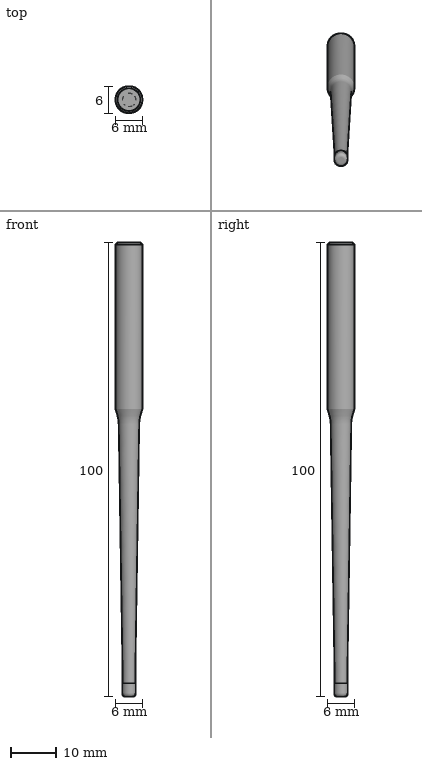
import cadquery as cq

total_length = 100.0
tip_length = 3.0
relief_height = 3.2
taper_start = 5.9
taper_end = 60.2
blend_end = 61.7
shank_start = 63.4

shank_radius = 3.0
shoulder_radius = 2.5
taper_top_radius = 2.3
tip_radius = 1.5
neck_radius = 1.45

shank_chamfer = 0.5
tip_corner_radius = 0.75


def revolve_about_z(profile):
    """Revolve a closed profile of the YZ plane about the Z axis."""
    return profile.close().revolve(360, (0, 0, 0), (0, 1, 0))


def make_holder():
    """Shank, shoulder, tapered neck and step; the blend is tangent to the taper."""
    profile = (
        cq.Workplane("YZ")
        .moveTo(0, tip_length)
        .lineTo(-tip_radius, tip_length)
        .lineTo(-neck_radius, relief_height)
        .lineTo(-neck_radius, taper_start)
        .lineTo(-taper_top_radius, taper_end)
        .tangentArcPoint((-shoulder_radius, blend_end), relative=False)
        .lineTo(-shank_radius, shank_start)
        .lineTo(-shank_radius, total_length - shank_chamfer)
        .lineTo(-shank_radius + shank_chamfer, total_length)
        .lineTo(0, total_length)
    )
    return revolve_about_z(profile)


def make_tip():
    """Cylindrical tip with a rounded lower corner, standing on Z = 0."""
    profile = (
        cq.Workplane("YZ")
        .moveTo(0, tip_length)
        .lineTo(0, 0)
        .lineTo(-tip_radius + tip_corner_radius, 0)
        .tangentArcPoint((-tip_radius, tip_corner_radius), relative=False)
        .lineTo(-tip_radius, tip_length)
    )
    return revolve_about_z(profile)


holder = make_holder()
tip = make_tip()

result = cq.Compound.makeCompound([holder.val(), tip.val()])